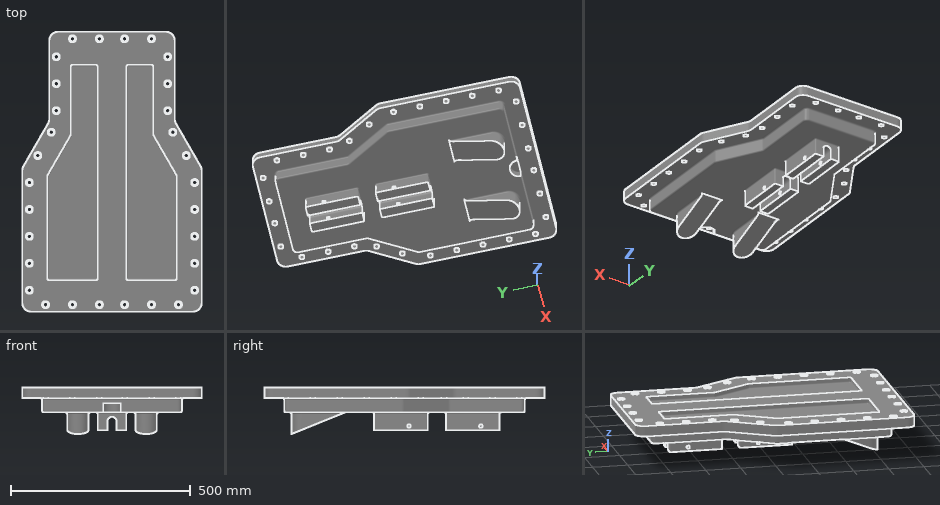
import math

import cadquery as cq

PLATE_LENGTH = 780.0
WIDE_WIDTH = 500.0
NARROW_WIDTH = 350.0
PLATE_THICKNESS = 30.0
PLATE_CORNER_RADIUS = 25.0
SHOULDER_Y = 10.0
SLANT_ANGLE = 30.0

TIER_INSET = 55.0
TIER_HEIGHT = 40.0
TIER_CORNER_RADIUS = 13.0

BLEND_RADIUS = 5.0

HOLE_INSET = 20.0
HOLE_PITCH = 75.0
HOLE_DIAMETER = 14.0
SINK_DIAMETER = 20.0
SINK_ANGLE = 90.0
MIDDLE_HOLE_GAP = 70.0
FRONT_HOLES_PER_HALF = 3
BACK_HOLES_PER_HALF = 2
WIDE_SIDE_HOLES = 5
WIDE_SIDE_FIRST_Y = -330.0
SLANT_HOLES = 2
SLANT_FIRST_Y = 45.0
NARROW_SIDE_HOLES = 3
NARROW_SIDE_FIRST_Y = 170.0

POCKET_DEPTH = 16.0
POCKET_INNER_X = 40.0
POCKET_WIDE_X = 180.0
POCKET_NARROW_X = 115.0
POCKET_FRONT_Y = -302.0
POCKET_BACK_Y = 297.5
POCKET_SHOULDER_Y = -10.5
POCKET_FILLET = 5.0

NOTCH_RADIUS = 25.0
NOTCH_HEIGHT = 25.0
NOTCH_CEILING_FILLET = 2.0

BLOCK_WIDTH = 80.0
BLOCK_LENGTH = 150.0
BLOCK_HEIGHT = 50.0
BLOCK_CORNER_RADIUS = 4.0
BLOCK_BLEND_RADIUS = 4.0
BLOCK_CENTERS_Y = (190.0, -10.0)
SLOT_WIDTH = 25.0
SLOT_HEIGHT = 37.5
PIN_DIAMETER = 9.0
PIN_OFFSET_Y = 22.5
PIN_DROP = 38.0

FOOT_WIDTH = 60.0
FOOT_LENGTH = 150.0
FOOT_X = 95.0
FOOT_NOSE_Y = -315.0
FOOT_ANGLE = 22.0

SLANT = math.radians(SLANT_ANGLE)
TIER_BOTTOM = -PLATE_THICKNESS - TIER_HEIGHT
TIER_FRONT_Y = -PLATE_LENGTH / 2 + TIER_INSET


def shouldered_slab(inset, height, top_z, corner_radius):
    """Slab with the plate outline moved inwards by inset and its upright edges rounded."""
    half_wide = WIDE_WIDTH / 2 - inset
    half_narrow = NARROW_WIDTH / 2 - inset
    half_length = PLATE_LENGTH / 2 - inset
    low_y = SHOULDER_Y - inset * math.tan(SLANT / 2)
    high_y = low_y + (half_wide - half_narrow) / math.tan(SLANT)
    right_side = [
        (half_wide, -half_length),
        (half_wide, low_y),
        (half_narrow, high_y),
        (half_narrow, half_length),
    ]
    left_side = [(-x, y) for x, y in reversed(right_side)]
    bottom = cq.Workplane("XY", origin=(0, 0, top_z - height))
    slab = bottom.polyline(right_side + left_side).close().extrude(height)
    return slab.edges("|Z").fillet(corner_radius)


def blend_at(body, point, radius=BLEND_RADIUS):
    """Fillet the seam that runs smoothly on from the edge nearest to point."""
    return body.edges(cq.selectors.NearestToPointSelector(point)).fillet(radius)


def add_tier(body):
    """Join the lower tier to the plate, its bottom edge rounded."""
    tier = shouldered_slab(TIER_INSET, TIER_HEIGHT, -PLATE_THICKNESS, TIER_CORNER_RADIUS)
    tier = tier.faces("<Z").edges().fillet(BLEND_RADIUS)
    return blend_at(body.union(tier), (0, TIER_FRONT_Y, -PLATE_THICKNESS))


def cut_notch(body):
    base = cq.Workplane("XY", origin=(0, TIER_FRONT_Y, TIER_BOTTOM))
    notch = base.circle(NOTCH_RADIUS).extrude(NOTCH_HEIGHT)
    return body.cut(notch.faces(">Z").edges().fillet(NOTCH_CEILING_FILLET))


def add_guide_block(body, center_y):
    base = cq.Workplane("XY", origin=(0, center_y, TIER_BOTTOM))
    block = base.rect(BLOCK_WIDTH, BLOCK_LENGTH).extrude(-BLOCK_HEIGHT)
    block = block.edges("|Z").fillet(BLOCK_CORNER_RADIUS)
    body = blend_at(body.union(block), (BLOCK_WIDTH / 2, center_y, TIER_BOTTOM), BLOCK_BLEND_RADIUS)

    half_slot = SLOT_WIDTH / 2
    slot_front = cq.Workplane("XZ", origin=(0, center_y, TIER_BOTTOM - BLOCK_HEIGHT))
    slot = (
        slot_front.moveTo(-half_slot, 0)
        .lineTo(-half_slot, SLOT_HEIGHT - half_slot)
        .threePointArc((0, SLOT_HEIGHT), (half_slot, SLOT_HEIGHT - half_slot))
        .lineTo(half_slot, 0)
        .close()
        .extrude(BLOCK_LENGTH / 2, both=True)
    )
    pin_axis = cq.Workplane("YZ", origin=(0, center_y + PIN_OFFSET_Y, TIER_BOTTOM - PIN_DROP))
    pin_hole = pin_axis.circle(PIN_DIAMETER / 2).extrude(BLOCK_WIDTH / 2, both=True)
    return body.cut(slot).cut(pin_hole)


def add_foot(body, center_x):
    """Join a round-nosed post whose underside slopes up to meet the tier at its back end."""
    half_width = FOOT_WIDTH / 2
    depth = FOOT_LENGTH * math.tan(math.radians(FOOT_ANGLE))
    back_y = FOOT_NOSE_Y + FOOT_LENGTH
    round_y = FOOT_NOSE_Y + half_width
    post = (
        cq.Workplane("XY", origin=(center_x, 0, TIER_BOTTOM))
        .moveTo(-half_width, back_y)
        .lineTo(-half_width, round_y)
        .threePointArc((0, FOOT_NOSE_Y), (half_width, round_y))
        .lineTo(half_width, back_y)
        .close()
        .extrude(-depth)
    )
    wedge = (
        cq.Workplane("YZ", origin=(center_x, 0, TIER_BOTTOM))
        .polyline([(back_y, 0), (FOOT_NOSE_Y, 0), (FOOT_NOSE_Y, -depth)])
        .close()
        .extrude(half_width, both=True)
    )
    body = body.union(post.intersect(wedge))
    return blend_at(body, (center_x, FOOT_NOSE_Y, TIER_BOTTOM))


def cut_pockets(body):
    slant_rise = (POCKET_WIDE_X - POCKET_NARROW_X) / math.tan(SLANT)
    outline = [
        (POCKET_INNER_X, POCKET_FRONT_Y),
        (POCKET_WIDE_X, POCKET_FRONT_Y),
        (POCKET_WIDE_X, POCKET_SHOULDER_Y),
        (POCKET_NARROW_X, POCKET_SHOULDER_Y + slant_rise),
        (POCKET_NARROW_X, POCKET_BACK_Y),
        (POCKET_INNER_X, POCKET_BACK_Y),
    ]
    pocket = cq.Workplane("XY").polyline(outline).close().extrude(-POCKET_DEPTH)
    pocket = pocket.edges("|Z or <Z").fillet(POCKET_FILLET)
    return body.cut(pocket).cut(pocket.mirror("YZ"))


def hole_points():
    """Centres of the flange holes: one half, then its mirror image."""
    end_y = PLATE_LENGTH / 2 - HOLE_INSET
    wide_x = WIDE_WIDTH / 2 - HOLE_INSET
    narrow_x = NARROW_WIDTH / 2 - HOLE_INSET
    first_x = MIDDLE_HOLE_GAP / 2
    slant_edge_x = WIDE_WIDTH / 2 - (SLANT_FIRST_Y - SHOULDER_Y) * math.tan(SLANT)
    slant_first_x = slant_edge_x - HOLE_INSET / math.cos(SLANT)
    slant_step_x = -HOLE_PITCH * math.sin(SLANT)
    slant_step_y = HOLE_PITCH * math.cos(SLANT)
    half = [(first_x + i * HOLE_PITCH, -end_y) for i in range(FRONT_HOLES_PER_HALF)]
    half += [(first_x + i * HOLE_PITCH, end_y) for i in range(BACK_HOLES_PER_HALF)]
    half += [(wide_x, WIDE_SIDE_FIRST_Y + i * HOLE_PITCH) for i in range(WIDE_SIDE_HOLES)]
    half += [(narrow_x, NARROW_SIDE_FIRST_Y + i * HOLE_PITCH) for i in range(NARROW_SIDE_HOLES)]
    half += [
        (slant_first_x + i * slant_step_x, SLANT_FIRST_Y + i * slant_step_y)
        for i in range(SLANT_HOLES)
    ]
    return half + [(-x, y) for x, y in half]


def drill_holes(body):
    top = body.faces(">Z").workplane(origin=(0, 0, 0)).pushPoints(hole_points())
    return top.cskHole(HOLE_DIAMETER, SINK_DIAMETER, SINK_ANGLE, PLATE_THICKNESS)


result = shouldered_slab(0, PLATE_THICKNESS, 0, PLATE_CORNER_RADIUS)
result = add_tier(result)
result = cut_notch(result)
for block_y in BLOCK_CENTERS_Y:
    result = add_guide_block(result, block_y)
for foot_x in (-FOOT_X, FOOT_X):
    result = add_foot(result, foot_x)
result = cut_pockets(result)
result = drill_holes(result)